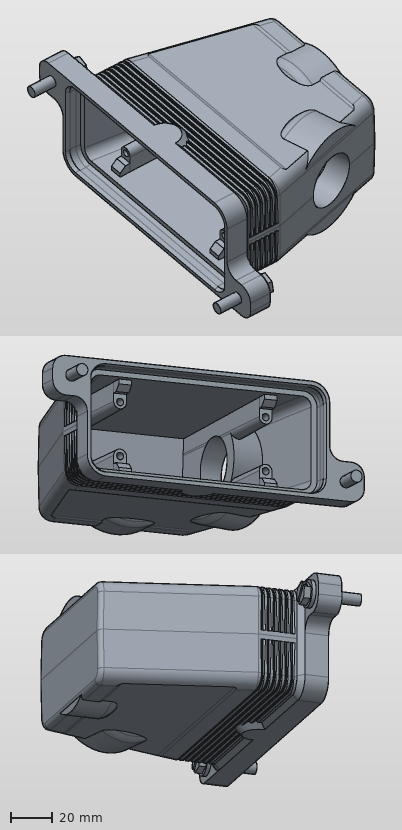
import cadquery as cq
import math


FLANGE_HALF_X = 64.4
FLANGE_HALF_Z = 29.0
FLANGE_HEIGHT = 12.2
FLANGE_CORNER_RADIUS = 10.0
EAR_TIP_X = 82.75
EAR_EDGE_Z = 9.3
EAR_RADIUS = 7.0
SKIRT_HEIGHT = 3.0

BODY_HALF_X = FLANGE_HALF_X - SKIRT_HEIGHT
BODY_HALF_Z = 26.45
BODY_START_Y = 5.0
KNEE_Y = 35.1
BODY_TOP_Y = 110.2
SIDE_ANGLE = 15.0
DRAFT_ANGLE = 1.0
BODY_EDGE_RADIUS = 7.0
TOP_EDGE_RADIUS = 3.0

PANEL_DEPTH = 0.5
PANEL_BEVEL = 1.6
PANEL_START_Y = 43.1
PANEL_END_Y = 99.1

GROOVE_COUNT = 6
GROOVE_PITCH = 3.05
GROOVE_WALL = 1.0
GROOVE_FLOOR = 0.5
GROOVE_DEPTH = 0.65
GROOVE_START_Y = 16.25
GROOVE_WEB = 4.7

ENTRY_RADIUS = FLANGE_HALF_Z
ENTRY_CHAMFER = 4.0
ENTRY_ROUND = 6.6
TOP_ENTRY_START_Y = 86.2
TOP_ENTRY_END_Y = 109.4
SIDE_ENTRY_AXIS_Y = 75.0
SIDE_ENTRY_LENGTH = 25.8
SIDE_CORE_RADIUS = 22.4
SIDE_CORE_FACE_X = 35.7
SIDE_CORE_FACE_DRAFT = 2.0
SIDE_CORE_LENGTH = 60.0
SIDE_BORE_RADIUS = 14.6

PIVOT_RADIUS = 8.3
PIVOT_ROOT = 2.0

MOUTH_PROFILE = [(0.0, 26.9), (2.4, 26.4), (6.1, 26.4), (8.7, 25.9)]
MOUTH_RADIUS = 8.0
LEDGE_Y = MOUTH_PROFILE[-1][0]
MOUTH_EXTRA_X = 35.6

CAVITY_HALF_X = 58.4
CAVITY_HALF_Z = 23.3
CAVITY_FLOOR_HALF_Z = 20.9
CAVITY_FLOOR_Y = 106.0
FLOOR_TILT = 4.5
CAVITY_KNEE_X = 50.5
CAVITY_KNEE_Y = 64.0
CAVITY_FLOOR_HALF_X = 39.3
CAVITY_RADIUS = 5.0

POST_X = 38.65
POST_Z = 13.45
POST_RADIUS = 3.4
POST_FACE_Y = 18.5
POST_HOLE_RADIUS = 1.8
POST_HOLE_DEPTH = 10.0
PAD_PROFILE = [(12.4, 20.8), (15.7, 17.7), (POST_FACE_Y, 17.5)]

SCREW_X = 72.85
SCREW_Z = 19.4
SCREW_RADIUS = 3.0
SCREW_TIP_Y = -12.8
WASHER_RADIUS = 6.9
WASHER_HEIGHT = 2.0
HEAD_ACROSS_CORNERS = 11.55
HEAD_HEIGHT = 3.5
HEAD_TURN = 18.0
HEX_HALF_FACE = 30.0
SLOT_WIDTH = 2.0
SLOT_DEPTH = 2.0

WALL_DEPTH = 30.0


def tan(degrees):
    return math.tan(math.radians(degrees))


def plane_at(y, x=0.0, z=0.0):
    """Plane across the Y axis: local X is +X, local Y is -Z, extrusion goes to +Y."""
    return cq.Workplane(cq.Plane(origin=(x, y, z), xDir=(1, 0, 0), normal=(0, 1, 0)))


def rounded_block(y, half_x, half_z, radius, height, taper=0.0):
    outline = cq.Sketch().rect(2 * half_x, 2 * half_z).vertices().fillet(radius)
    return plane_at(y).placeSketch(outline).extrude(height, taper=taper)


def both_faces(shape):
    return shape.union(shape.mirror("XY"))


def make_flange():
    outline = []
    for side in (1, -1):
        outline += [
            (-side * EAR_TIP_X, -side * FLANGE_HALF_Z),
            (side * FLANGE_HALF_X, -side * FLANGE_HALF_Z),
            (side * FLANGE_HALF_X, side * EAR_EDGE_Z),
            (side * EAR_TIP_X, side * EAR_EDGE_Z),
        ]
    flange = plane_at(0).polyline(outline).close().extrude(FLANGE_HEIGHT)
    for corner_x, corner_local_y in outline:
        plate_corner = abs(corner_x) == FLANGE_HALF_X and abs(corner_local_y) == FLANGE_HALF_Z
        radius = FLANGE_CORNER_RADIUS if plate_corner else EAR_RADIUS
        middle = (corner_x, FLANGE_HEIGHT / 2, -corner_local_y)
        flange = flange.edges(cq.NearestToPointSelector(middle)).fillet(radius)
    skirt = rounded_block(
        FLANGE_HEIGHT, FLANGE_HALF_X, FLANGE_HALF_Z, FLANGE_CORNER_RADIUS, SKIRT_HEIGHT, taper=45
    )
    return flange.union(skirt)


def make_body():
    """Housing with sloping sides, drafted both ways from its mid-plane z = 0."""
    top_half_x = BODY_HALF_X - (BODY_TOP_Y - KNEE_Y) * tan(SIDE_ANGLE)
    outline = [
        (-BODY_HALF_X, BODY_START_Y),
        (BODY_HALF_X, BODY_START_Y),
        (BODY_HALF_X, KNEE_Y),
        (top_half_x, BODY_TOP_Y),
        (-top_half_x, BODY_TOP_Y),
        (-BODY_HALF_X, KNEE_Y),
    ]
    half = cq.Workplane("XY").polyline(outline).close().extrude(BODY_HALF_Z, taper=DRAFT_ANGLE)
    slope_middle_x = (BODY_HALF_X + top_half_x) / 2
    long_edges = cq.Workplane("XY")
    for side in (-1, 1):
        for x, y in ((BODY_HALF_X, (BODY_START_Y + KNEE_Y) / 2), (slope_middle_x, (KNEE_Y + BODY_TOP_Y) / 2)):
            near_edge = cq.NearestToPointSelector((side * x, y, BODY_HALF_Z))
            long_edges = long_edges.add(half.edges(near_edge).vals())
    half = half.newObject(long_edges.vals()).fillet(BODY_EDGE_RADIUS)
    half = half.faces(">Y").edges("not(<Z)").fillet(TOP_EDGE_RADIUS)
    return half.union(half.mirror("XY"))


def make_panel_recess():
    panel_z = BODY_HALF_Z - PANEL_DEPTH
    profile = [
        (PANEL_START_Y, BODY_HALF_Z),
        (PANEL_START_Y + PANEL_BEVEL, panel_z),
        (PANEL_END_Y - PANEL_BEVEL, panel_z),
        (PANEL_END_Y, BODY_HALF_Z),
    ]
    recess = cq.Workplane("YZ").polyline(profile).close().extrude(BODY_HALF_X, both=True)
    return both_faces(recess)


def make_groove(start_y):
    width = 2 * GROOVE_WALL + GROOVE_FLOOR
    slope = math.degrees(math.atan2(GROOVE_DEPTH, GROOVE_WALL))
    lower = rounded_block(
        start_y, BODY_HALF_X, BODY_HALF_Z, BODY_EDGE_RADIUS, GROOVE_WALL, taper=slope
    )
    upper = lower.mirror("XZ", (0, start_y + width / 2, 0))
    core = rounded_block(
        start_y,
        BODY_HALF_X - GROOVE_DEPTH,
        BODY_HALF_Z - GROOVE_DEPTH,
        BODY_EDGE_RADIUS - GROOVE_DEPTH,
        width,
    )
    web = plane_at(start_y).rect(4 * BODY_HALF_X, GROOVE_WEB).extrude(width)
    ring = rounded_block(start_y, FLANGE_HALF_X, FLANGE_HALF_Z, FLANGE_CORNER_RADIUS, width)
    return ring.cut(core).cut(lower).cut(upper).cut(web)


def make_entry_boss(plane, length):
    """Round boss along the plane's normal; its inner end, at the origin, has a blended chamfer."""
    boss = cq.Workplane(plane).circle(ENTRY_RADIUS).extrude(length)
    boss = boss.edges(cq.NearestToPointSelector(plane.origin)).chamfer(ENTRY_CHAMFER)
    chamfer_top = plane.toWorldCoords((0, 0, ENTRY_CHAMFER))
    return boss.edges(cq.NearestToPointSelector(chamfer_top)).fillet(ENTRY_ROUND)


def side_entry_plane(distance):
    """Plane across the side entry's axis, a distance inward from the sloping wall."""
    along = (math.cos(math.radians(SIDE_ANGLE)), math.sin(math.radians(SIDE_ANGLE)), 0)
    wall_x = BODY_HALF_X - (SIDE_ENTRY_AXIS_Y - KNEE_Y) * tan(SIDE_ANGLE)
    origin = (wall_x - distance * along[0], SIDE_ENTRY_AXIS_Y - distance * along[1], 0)
    return cq.Plane(origin=origin, xDir=(0, 0, 1), normal=along)


def make_entry_bosses():
    top_plane = cq.Plane(origin=(0, TOP_ENTRY_START_Y, 0), xDir=(1, 0, 0), normal=(0, 1, 0))
    top = make_entry_boss(top_plane, TOP_ENTRY_END_Y - TOP_ENTRY_START_Y)
    outer_gap = ENTRY_RADIUS * tan(DRAFT_ANGLE)
    side = make_entry_boss(side_entry_plane(SIDE_ENTRY_LENGTH), SIDE_ENTRY_LENGTH - outer_gap)
    return top.union(side)


def make_pivots():
    """Half-round bosses flush with the flange faces, widening at 45 degrees towards the housing."""
    base_radius = PIVOT_RADIUS + FLANGE_HALF_Z
    cone = cq.Solid.makeCone(
        base_radius, PIVOT_RADIUS, FLANGE_HALF_Z, cq.Vector(0, FLANGE_HEIGHT, 0), cq.Vector(0, 0, 1)
    )
    half_size = base_radius
    upper_half = (
        cq.Workplane("XY", origin=(0, FLANGE_HEIGHT, BODY_HALF_Z - PIVOT_ROOT))
        .center(0, half_size / 2)
        .rect(2 * half_size, half_size)
        .extrude(FLANGE_HALF_Z)
    )
    return both_faces(cq.Workplane(cone).intersect(upper_half))


def make_mouth():
    """Stepped opening: a lead-in, a straight seat and a second slope down to the ledge."""
    mouth = None
    for (y0, z0), (y1, z1) in zip(MOUTH_PROFILE, MOUTH_PROFILE[1:]):
        taper = math.degrees(math.atan2(z0 - z1, y1 - y0))
        step = rounded_block(y0, z0 + MOUTH_EXTRA_X, z0, MOUTH_RADIUS, y1 - y0, taper=taper)
        mouth = step if mouth is None else mouth.union(step)
    return mouth


def make_cavity():
    plan = [
        (CAVITY_HALF_X, LEDGE_Y),
        (CAVITY_KNEE_X, CAVITY_KNEE_Y),
        (CAVITY_FLOOR_HALF_X, CAVITY_FLOOR_Y),
    ]
    plan += [(-x, y) for x, y in reversed(plan)]
    floor_edge_y = CAVITY_FLOOR_Y - CAVITY_FLOOR_HALF_Z * tan(FLOOR_TILT)
    section = [
        (LEDGE_Y, CAVITY_HALF_Z),
        (floor_edge_y, CAVITY_FLOOR_HALF_Z),
        (CAVITY_FLOOR_Y, 0),
        (floor_edge_y, -CAVITY_FLOOR_HALF_Z),
        (LEDGE_Y, -CAVITY_HALF_Z),
    ]
    prism = cq.Workplane("XY").polyline(plan).close().extrude(WALL_DEPTH, both=True)
    wedge = cq.Workplane("YZ").polyline(section).close().extrude(BODY_HALF_X, both=True)
    cavity = prism.intersect(wedge)
    for side in (-1, 1):
        side_region = cq.selectors.BoxSelector(
            (side * CAVITY_FLOOR_HALF_X, LEDGE_Y, -WALL_DEPTH),
            (side * BODY_HALF_X, floor_edge_y, WALL_DEPTH),
        )
        cavity = cavity.edges(side_region).edges("not |Z").fillet(CAVITY_RADIUS)
    return cavity


def make_post(x):
    """Post on the +Z wall, widening towards the cavity floor, with a raised pad at the wall."""
    outline = (
        cq.Sketch()
        .push([(0, -WALL_DEPTH / 2)])
        .rect(2 * POST_RADIUS, WALL_DEPTH)
        .reset()
        .push([(0, 0)])
        .circle(POST_RADIUS)
        .clean()
    )
    post = (
        plane_at(POST_FACE_Y, x, POST_Z)
        .placeSketch(outline)
        .extrude(BODY_TOP_Y - POST_FACE_Y, taper=-DRAFT_ANGLE)
    )
    pad_outline = PAD_PROFILE + [(POST_FACE_Y, WALL_DEPTH), (PAD_PROFILE[0][0], WALL_DEPTH)]
    pad = (
        cq.Workplane("YZ", origin=(x, 0, 0))
        .polyline(pad_outline)
        .close()
        .extrude(POST_RADIUS, both=True)
    )
    hole = plane_at(POST_FACE_Y, x, POST_Z).circle(POST_HOLE_RADIUS).extrude(POST_HOLE_DEPTH)
    return post.union(pad).cut(hole)


def make_side_core():
    """Material around the side entry inside the cavity: round below, solid up to the floor."""
    plane = side_entry_plane(SIDE_CORE_LENGTH)
    core = cq.Workplane(plane).circle(SIDE_CORE_RADIUS).extrude(2 * SIDE_CORE_LENGTH)
    fill = (
        cq.Workplane(plane)
        .center(0, -SIDE_CORE_LENGTH / 2)
        .rect(2 * WALL_DEPTH, SIDE_CORE_LENGTH)
        .extrude(2 * SIDE_CORE_LENGTH)
    )
    floor_x = SIDE_CORE_FACE_X - SIDE_CORE_FACE_DRAFT
    beyond_face = (
        cq.Workplane("XY")
        .polyline(
            [
                (SIDE_CORE_FACE_X, LEDGE_Y),
                (floor_x, BODY_TOP_Y),
                (EAR_TIP_X, BODY_TOP_Y),
                (EAR_TIP_X, LEDGE_Y),
            ]
        )
        .close()
        .extrude(WALL_DEPTH, both=True)
    )
    return core.union(fill).intersect(beyond_face)


def make_screw(x, z):
    length = FLANGE_HEIGHT - SCREW_TIP_Y
    shank = plane_at(SCREW_TIP_Y, x, z).circle(SCREW_RADIUS).extrude(length)
    washer = plane_at(FLANGE_HEIGHT, x, z).circle(WASHER_RADIUS).extrude(WASHER_HEIGHT)
    head = (
        plane_at(FLANGE_HEIGHT + WASHER_HEIGHT, x, z)
        .transformed(rotate=(0, 0, HEAD_TURN))
        .polygon(6, HEAD_ACROSS_CORNERS)
        .extrude(HEAD_HEIGHT)
    )
    slot = (
        plane_at(FLANGE_HEIGHT + WASHER_HEIGHT + HEAD_HEIGHT, x, z)
        .transformed(rotate=(0, 0, HEAD_TURN + HEX_HALF_FACE))
        .rect(2 * HEAD_ACROSS_CORNERS, SLOT_WIDTH)
        .extrude(-SLOT_DEPTH)
    )
    return shank.union(washer).union(head.cut(slot))


body = make_body().cut(make_panel_recess())
for index in range(GROOVE_COUNT):
    body = body.cut(make_groove(GROOVE_START_Y + index * GROOVE_PITCH))

hood = body.union(make_entry_bosses()).union(make_flange()).union(make_pivots())

cavity = make_cavity()
for post_x in (-POST_X, POST_X):
    cavity = cavity.cut(both_faces(make_post(post_x)))
cavity = cavity.cut(make_side_core())

bore_plane = side_entry_plane(SIDE_CORE_LENGTH / 2)
side_bore = cq.Workplane(bore_plane).circle(SIDE_BORE_RADIUS).extrude(SIDE_CORE_LENGTH)

hood = hood.cut(make_mouth()).cut(cavity).cut(side_bore)

result = hood.union(make_screw(-SCREW_X, SCREW_Z)).union(make_screw(SCREW_X, -SCREW_Z))